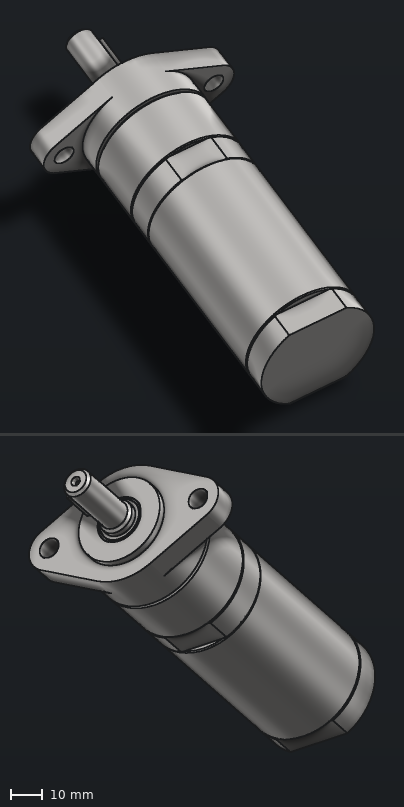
import cadquery as cq
import math

collar_start = 23.0
pilot_face = 26.1
flange_face = 28.8
flange_back = 37.2
groove_start = 45.5
groove_end = 46.9
neck_start = 67.0
motor_start = 77.0
cap_start = 137.0
total_length = 146.0

body_diameter = 41.5
groove_diameter = 38.0
housing_chamfer = 0.5
end_piece_chamfer = 0.3
neck_across_flats = 38.0
cap_across_flats = 35.8

pilot_diameter = 30.0
ring_outer_diameter = 16.0
ring_inner_diameter = 14.5
ring_depth = 0.7

shaft_diameter = 10.0
shaft_chamfer = 1.0
collar_diameter = 12.0
center_mouth_diameter = 3.2
center_bore_diameter = 1.6
center_cone_angle = 60
center_cone_depth = (
    (center_mouth_diameter - center_bore_diameter) / 2 / math.tan(math.radians(center_cone_angle / 2))
)
center_bore_depth = 2.9
drill_point_angle = 118
drill_point_depth = center_bore_diameter / 2 / math.tan(math.radians(drill_point_angle / 2))

key_start = 4.8
key_length = 12.4
key_width = 3.0
key_top = 6.3

flange_width = 70.0
ear_radius = 8.0
ear_offset = flange_width / 2 - ear_radius
hole_diameter = 7.0
hole_offset = 27.5


def disc(start, end, diameter):
    """Round section on the X axis between two stations."""
    return cq.Workplane("YZ").workplane(offset=start).circle(diameter / 2).extrude(end - start)


def revolve_x(profile):
    """Solid of revolution about the X axis from (station, radius) points."""
    return cq.Workplane("XY").polyline(profile).close().revolve(360, (0, 0, 0), (1, 0, 0))


def cut_flats(section, start, end, across_flats):
    """Flatten the top and the bottom of a section between two stations."""
    length = end - start
    slab = cq.Workplane("XY").box(length, body_diameter, across_flats)
    return section.intersect(slab.translate((start + length / 2, 0, 0)))


def make_body():
    """Flange front, relief groove, gearbox, flatted neck, motor and flatted end cap."""
    front = disc(flange_face, groove_start, body_diameter)
    groove = disc(groove_start, groove_end, groove_diameter)
    gearbox = disc(groove_end, neck_start, body_diameter).faces(">X").chamfer(housing_chamfer)
    neck = disc(neck_start, motor_start, body_diameter).faces("<X").chamfer(end_piece_chamfer)
    neck = cut_flats(neck, neck_start, motor_start, neck_across_flats)
    motor = disc(motor_start, cap_start, body_diameter).faces("<X or >X").chamfer(housing_chamfer)
    cap = disc(cap_start, total_length, body_diameter).faces("<X").chamfer(end_piece_chamfer)
    cap = cut_flats(cap, cap_start, total_length, cap_across_flats)
    return front.union(groove).union(gearbox).union(neck).union(motor).union(cap)


def make_flange():
    """Lozenge outline: the body circle joined to two ear circles by tangent lines."""
    body_radius = body_diameter / 2
    lean = math.asin((body_radius - ear_radius) / ear_offset)
    body_y = body_radius * math.sin(lean)
    body_z = body_radius * math.cos(lean)
    ear_y = ear_offset + ear_radius * math.sin(lean)
    ear_z = ear_radius * math.cos(lean)
    ear_tip = flange_width / 2
    flange = (
        cq.Workplane("YZ")
        .workplane(offset=flange_face)
        .moveTo(-body_y, body_z)
        .threePointArc((0, body_radius), (body_y, body_z))
        .lineTo(ear_y, ear_z)
        .threePointArc((ear_tip, 0), (ear_y, -ear_z))
        .lineTo(body_y, -body_z)
        .threePointArc((0, -body_radius), (-body_y, -body_z))
        .lineTo(-ear_y, -ear_z)
        .threePointArc((-ear_tip, 0), (-ear_y, ear_z))
        .close()
        .extrude(flange_back - flange_face)
    )
    holes = (
        cq.Workplane("YZ")
        .workplane(offset=flange_face)
        .pushPoints([(-hole_offset, 0), (hole_offset, 0)])
        .circle(hole_diameter / 2)
        .extrude(flange_back - flange_face)
    )
    return flange.cut(holes)


def make_pilot():
    """Centering pilot with a narrow ring groove around the shaft."""
    pilot = disc(pilot_face, flange_face, pilot_diameter)
    ring_floor = pilot_face + ring_depth
    ring = disc(pilot_face, ring_floor, ring_outer_diameter).cut(
        disc(pilot_face, ring_floor, ring_inner_diameter)
    )
    return pilot.cut(ring)


def make_center_hole():
    """Countersunk center hole in the shaft tip, ending in a drill point."""
    bore_radius = center_bore_diameter / 2
    return revolve_x([
        (0, 0),
        (0, center_mouth_diameter / 2),
        (center_cone_depth, bore_radius),
        (center_bore_depth, bore_radius),
        (center_bore_depth + drill_point_depth, 0),
    ])


def make_shaft():
    """Shaft with a chamfered tip that widens to the collar over a taper."""
    shaft_radius = shaft_diameter / 2
    collar_radius = collar_diameter / 2
    shaft = revolve_x([
        (0, 0),
        (0, shaft_radius - shaft_chamfer),
        (shaft_chamfer, shaft_radius),
        (collar_start, shaft_radius),
        (collar_start + collar_radius - shaft_radius, collar_radius),
        (flange_face, collar_radius),
        (flange_face, 0),
    ])
    key = cq.Workplane("XY").box(key_length, key_top, key_width, centered=(False, False, True))
    return shaft.union(key.translate((key_start, 0, 0))).cut(make_center_hole())


result = make_body().union(make_flange()).union(make_pilot()).union(make_shaft())